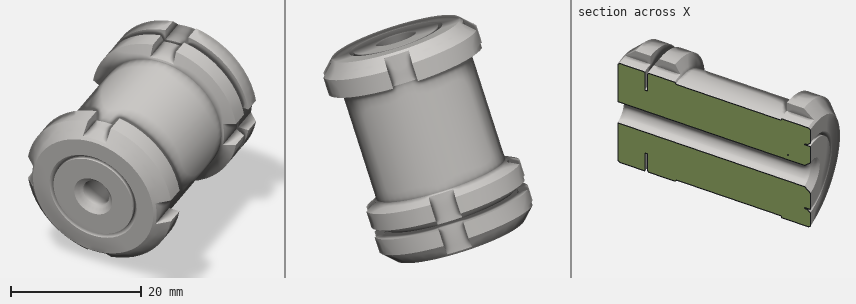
import cadquery as cq

length = 33.0
body_diameter = 20.8
flange_diameter = 25.0

flange_length = 5.0
flange_chamfer_length = 2.1
back_flange_length = 4.7
collar_length = 4.95
collar_chamfer_length = 1.12
neck_length = 0.35

notch_width = 4.0
notch_floor_diameter = 21.5
notch_count = 4

shaft_diameter = 13.7
sleeve_bore_diameter = 13.93
sleeve_mouth_diameter = 15.08
sleeve_mouth_depth = (sleeve_mouth_diameter - sleeve_bore_diameter) / 2
clearance_depth = 1.0

bore_diameter = 4.5
countersink_diameter = 6.57
countersink_depth = (countersink_diameter - bore_diameter) / 2

back_flange_start = length - back_flange_length
collar_end = back_flange_start - neck_length
collar_start = collar_end - collar_length


def revolve_profile(points):
    """Revolve (diameter, y) points, closed along the axis, about the Y axis."""
    outline = [(diameter / 2, y) for diameter, y in points]
    return cq.Workplane("XY").polyline(outline).close().revolve(360, (0, 0, 0), (0, 1, 0))


def tube(outer_diameter, inner_diameter, start, end):
    return revolve_profile([
        (inner_diameter, start),
        (outer_diameter, start),
        (outer_diameter, end),
        (inner_diameter, end),
    ])


def notch_cutters(start, end):
    """Radial slots, evenly spaced, with a cylindrical floor."""
    reach = flange_diameter
    middle = (start + end) / 2
    slots = cq.Workplane("XY")
    for index in range(notch_count):
        slot = cq.Workplane("XY").box(reach, end - start, notch_width).translate((reach / 2, middle, 0))
        angle = index * 360 / notch_count
        slots = slots.add(slot.rotate((0, 0, 0), (0, 1, 0), angle))
    ring = tube(2 * reach, notch_floor_diameter, start, end)
    return slots.combine().intersect(ring)


turned = revolve_profile([
    (0, 0),
    (body_diameter, 0),
    (flange_diameter, flange_chamfer_length),
    (flange_diameter, flange_length),
    (body_diameter, flange_length),
    (body_diameter, collar_start),
    (flange_diameter, collar_start + collar_chamfer_length),
    (flange_diameter, collar_end - collar_chamfer_length),
    (body_diameter, collar_end),
    (shaft_diameter, collar_end),
    (shaft_diameter, back_flange_start),
    (flange_diameter, back_flange_start),
    (flange_diameter, length - flange_chamfer_length),
    (body_diameter, length),
    (0, length),
])

for start, end in [
    (0, flange_length),
    (collar_start, collar_end),
    (back_flange_start, length),
]:
    turned = turned.cut(notch_cutters(start, end))

shaft_gap = revolve_profile([
    (shaft_diameter, 0),
    (sleeve_mouth_diameter, 0),
    (sleeve_bore_diameter, sleeve_mouth_depth),
    (sleeve_bore_diameter, clearance_depth),
    (shaft_diameter, clearance_depth),
])

bore = revolve_profile([
    (0, 0),
    (countersink_diameter, 0),
    (bore_diameter, countersink_depth),
    (bore_diameter, length),
    (0, length),
])

result = turned.cut(shaft_gap).cut(bore)